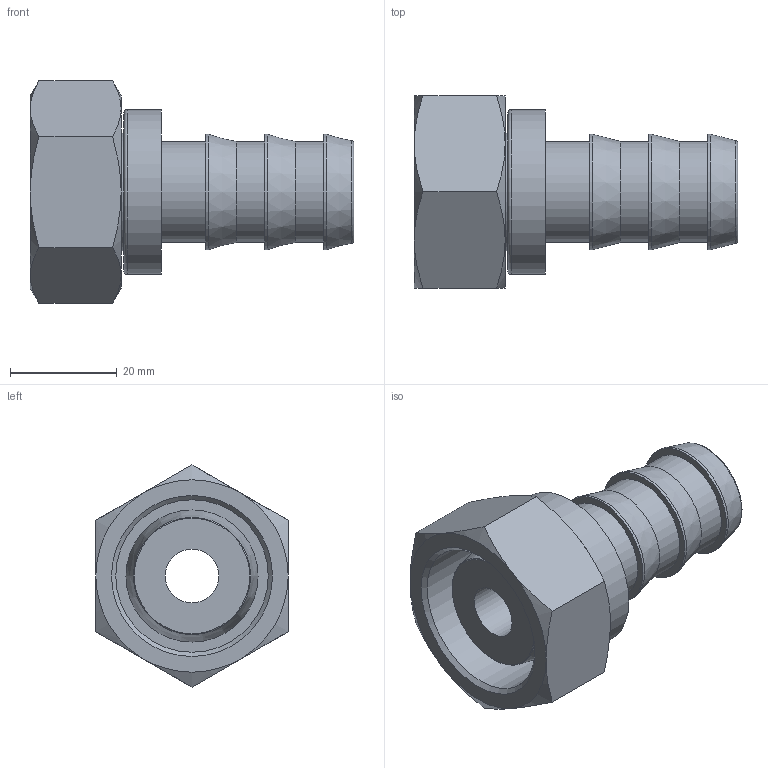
import cadquery as cq
import math

total_length = 60.5
bore_radius = 5.0

nut_length = 17.0
nut_across_flats = 36.0
nut_sides = 6
nut_corner_radius = nut_across_flats / 2 / math.cos(math.pi / nut_sides)
nut_chamfer_angle = math.radians(30)
nut_chamfer_start_radius = nut_across_flats / 2
nut_chamfer_length = (nut_corner_radius - nut_chamfer_start_radius) * math.tan(nut_chamfer_angle)

socket_radius = 14.25
socket_depth = 14.0
socket_chamfer = 0.8

cone_face_x = 4.0
cone_tip_radius = 10.95
cone_base_radius = 12.35
cone_half_angle = math.radians(12)
cone_tip_chamfer = 0.15
cone_length = (cone_base_radius - cone_tip_radius) / math.tan(cone_half_angle)
cone_base_x = cone_face_x + cone_tip_chamfer + cone_length

neck_radius = 11.0
collar_front_x = 17.5
collar_length = 7.0
collar_back_x = collar_front_x + collar_length
collar_radius = 15.4
collar_edge_radius = 0.6

stem_radius = 9.45
barb_count = 3
barb_radius = 10.8
barb_pitch = 11.05
first_barb_x = 32.8
barb_land = 0.5
barb_length = 5.75
tail_edge_radius = 0.5


def cylinder(start_x, end_x, radius):
    return cq.Workplane("YZ", origin=(start_x, 0, 0)).circle(radius).extrude(end_x - start_x)


def revolve_profile(points):
    """Turn a closed (x, radius) outline about the X axis."""
    return cq.Workplane("XY").polyline(points).close().revolve(360, (0, 0, 0), (1, 0, 0))


def make_nut():
    corners = []
    for i in range(nut_sides):
        angle = i * 2 * math.pi / nut_sides
        corners.append((nut_corner_radius * math.sin(angle), nut_corner_radius * math.cos(angle)))
    hexagon = cq.Workplane("YZ").polyline(corners).close().extrude(nut_length)
    chamfer_envelope = revolve_profile([
        (0, 0),
        (0, nut_chamfer_start_radius),
        (nut_chamfer_length, nut_corner_radius),
        (nut_length - nut_chamfer_length, nut_corner_radius),
        (nut_length, nut_chamfer_start_radius),
        (nut_length, 0),
    ])
    socket = revolve_profile([
        (0, 0),
        (0, socket_radius + socket_chamfer),
        (socket_chamfer, socket_radius),
        (socket_depth, socket_radius),
        (socket_depth, 0),
    ])
    return hexagon.intersect(chamfer_envelope).cut(socket)


def make_sealing_cone():
    return revolve_profile([
        (cone_face_x, 0),
        (cone_face_x, cone_tip_radius - cone_tip_chamfer),
        (cone_face_x + cone_tip_chamfer, cone_tip_radius),
        (cone_base_x, cone_base_radius),
        (nut_length, cone_base_radius),
        (nut_length, 0),
    ])


def make_collar():
    neck = cylinder(socket_depth, collar_back_x, neck_radius)
    collar = cylinder(collar_front_x, collar_back_x, collar_radius)
    return neck.union(collar.faces("<X").edges().fillet(collar_edge_radius))


def make_barb(start_x):
    end_x = start_x + barb_length
    return revolve_profile([
        (start_x, 0),
        (start_x, barb_radius),
        (start_x + barb_land, barb_radius),
        (end_x, stem_radius),
        (end_x, 0),
    ])


def make_tail():
    tail = cylinder(nut_length, total_length, stem_radius)
    for i in range(barb_count):
        tail = tail.union(make_barb(first_barb_x + i * barb_pitch))
    tail = tail.intersect(cylinder(nut_length, total_length, barb_radius))
    return tail.faces(">X").edges().fillet(tail_edge_radius)


body = make_nut().union(make_sealing_cone()).union(make_collar()).union(make_tail())
result = body.cut(cylinder(0, total_length, bore_radius))